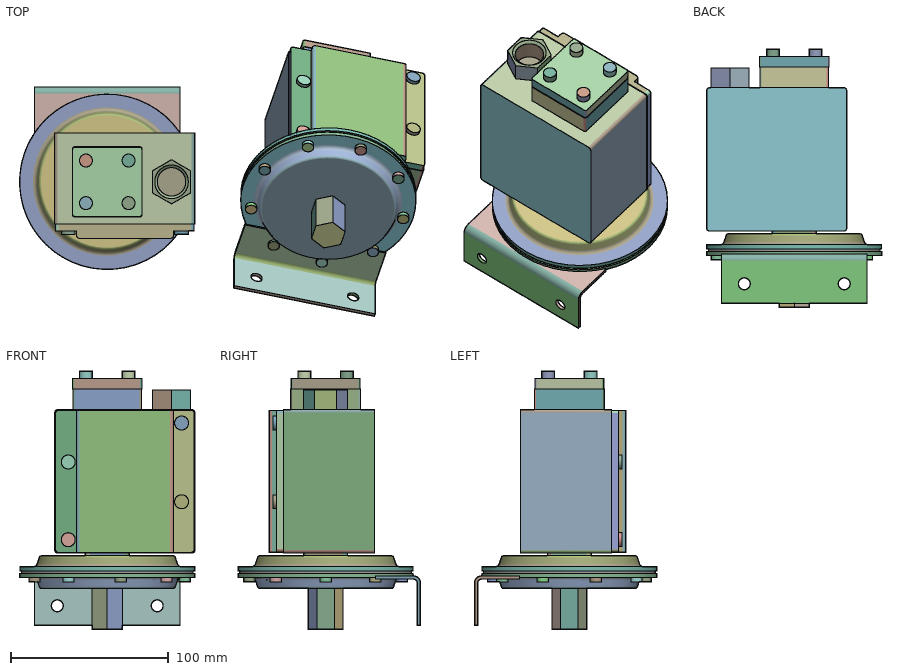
import cadquery as cq
import math


overall_depth = 115.8

port_flats = 19.2

capsule_bottom = 25.9
capsule_top = 46.7
capsule_middle = (capsule_bottom + capsule_top) / 2
flange_diameter = 111.2
flange_radius = flange_diameter / 2
flange_gap_radius = 54.5
flange_gap_height = 1.5
flange_pair_height = 6.9
dish_root_radius = 47.0
dish_wall_bottom_radius = 44.5
dish_wall_top_radius = 43.3
dish_face_radius = 42.0
dish_root_height = 2.0
dish_edge_height = 1.1

bolt_count = 9
bolt_circle_radius = 49.1
bolt_radius = 3.6
bolt_head_bottom = 30.1

bracket_width = 92.4
bracket_thickness = 2.1
bracket_front = 31.6
bracket_back = overall_depth - flange_radius
bracket_bottom = 2.5
bracket_top = 33.9
bracket_bend_radius = 4.5
bracket_hole_spacing = 63.4
bracket_hole_z = 14.9
bracket_hole_diameter = 7.4

housing_width = 89.0
housing_right = flange_radius
housing_left = housing_right - housing_width
housing_front = -26.9
housing_back = 31.1
housing_bottom = 48.3
housing_top = 139.5
housing_edge_radius = 2.0
neck_side = 28.0
neck_corner_radius = 3.0

cover_inset = 0.5
cover_front = -31.1
panel_front = -35.9
panel_left = -19.5
panel_right = 42.1
panel_edge_radius = 2.0
cover_screw_radius = 4.5
cover_screw_height = 2.3
cover_screws = [(-24.7, 56.8), (-24.7, 106.2), (47.2, 81.0), (47.2, 130.9)]

block_size = (43.7, 44.5)
block_top = 152.4
lid_size = (44.2, 43.7)
lid_top = 159.2
block_corner_radius = 1.1
lid_screw_spacing = 27.0
lid_screw_radius = 4.1
lid_screw_top = 163.8

entry_x = 40.8
entry_flats = 24.2
entry_top = 151.9
entry_bore_radius = 9.0
entry_bore_depth = 14.1
entry_bore_chamfer = 1.6


def box_between(x0, x1, y0, y1, z0, z1):
    return cq.Workplane("XY").box(x1 - x0, y1 - y0, z1 - z0, centered=False).translate((x0, y0, z0))


def hex_prism(x, across_flats, z0, z1):
    corner_diameter = across_flats / math.cos(math.pi / 6)
    hexagon = cq.Workplane("XY").polygon(6, corner_diameter).extrude(z1 - z0)
    return hexagon.rotate((0, 0, 0), (0, 0, 1), 90).translate((x, 0, z0))


def capsule():
    """Revolve the upper half about Z and mirror it about the clamping plane."""
    gap_top = flange_gap_height / 2
    flange_top = flange_pair_height / 2
    face = capsule_top - capsule_middle
    wall_bottom = flange_top + dish_root_height
    wall_top = face - dish_edge_height
    upper = (
        cq.Workplane("XZ")
        .lineTo(flange_gap_radius, 0)
        .lineTo(flange_gap_radius, gap_top)
        .lineTo(flange_radius, gap_top)
        .lineTo(flange_radius, flange_top)
        .lineTo(dish_root_radius, flange_top)
        .tangentArcPoint((dish_wall_bottom_radius, wall_bottom), relative=False)
        .lineTo(dish_wall_top_radius, wall_top)
        .tangentArcPoint((dish_face_radius, face), relative=False)
        .lineTo(0, face)
        .close()
        .revolve(360, (0, 0, 0), (0, 1, 0))
    )
    return upper.union(upper.mirror("XY")).translate((0, 0, capsule_middle))


def clamping_bolts():
    """Bolt heads, sunk into the lower flange by one bracket thickness."""
    flange_bottom = capsule_middle - flange_pair_height / 2
    return (
        cq.Workplane("XY", origin=(0, 0, bolt_head_bottom))
        .polarArray(bolt_circle_radius, 0, 360, bolt_count)
        .circle(bolt_radius)
        .extrude(flange_bottom + bracket_thickness - bolt_head_bottom)
    )


def bracket():
    inner_radius = bracket_bend_radius - bracket_thickness
    section = (
        cq.Workplane("YZ", origin=(-bracket_width / 2, 0, 0))
        .moveTo(bracket_front, bracket_top)
        .lineTo(bracket_back - bracket_bend_radius, bracket_top)
        .radiusArc((bracket_back, bracket_top - bracket_bend_radius), bracket_bend_radius)
        .lineTo(bracket_back, bracket_bottom)
        .lineTo(bracket_back - bracket_thickness, bracket_bottom)
        .lineTo(bracket_back - bracket_thickness, bracket_top - bracket_bend_radius)
        .radiusArc(
            (bracket_back - bracket_bend_radius, bracket_top - bracket_thickness), -inner_radius
        )
        .lineTo(bracket_front, bracket_top - bracket_thickness)
        .close()
        .extrude(bracket_width)
    )
    holes = (
        cq.Workplane("XZ", origin=(0, bracket_back, bracket_hole_z))
        .rarray(bracket_hole_spacing, 1.6, 2, 1)
        .circle(bracket_hole_diameter / 2)
        .extrude(2 * bracket_thickness)
    )
    return section.cut(holes)


def housing():
    """Box with rounded side edges on a short square neck above the capsule."""
    body = box_between(
        housing_left, housing_right, housing_front, housing_back, housing_bottom, housing_top
    )
    body = body.edges("|Y").fillet(housing_edge_radius)
    neck = (
        cq.Workplane("XY", origin=(0, 0, capsule_top))
        .rect(neck_side, neck_side)
        .extrude(housing_bottom - capsule_top)
        .edges("|Z")
        .fillet(neck_corner_radius)
    )
    return body.union(neck)


def cover():
    bottom = housing_bottom + cover_inset
    top = housing_top - cover_inset
    plate = box_between(
        housing_left + cover_inset, housing_right - cover_inset,
        cover_front, housing_front, bottom, top,
    )
    plate = plate.edges("|Y").fillet(housing_edge_radius)
    panel = box_between(panel_left, panel_right, panel_front, cover_front, bottom, top)
    panel = panel.edges("|Z and <Y").fillet(panel_edge_radius)
    screws = (
        cq.Workplane("XZ", origin=(0, cover_front, 0))
        .pushPoints(cover_screws)
        .circle(cover_screw_radius)
        .extrude(cover_screw_height)
    )
    return plate.union(panel).union(screws)


def connector():
    block = cq.Workplane("XY", origin=(0, 0, housing_top)).rect(*block_size)
    block = block.extrude(block_top - housing_top).edges("|Z").fillet(block_corner_radius)
    lid = cq.Workplane("XY", origin=(0, 0, block_top)).rect(*lid_size)
    lid = lid.extrude(lid_top - block_top).edges("|Z").fillet(block_corner_radius)
    screws = (
        cq.Workplane("XY", origin=(0, 0, lid_top))
        .rarray(lid_screw_spacing, lid_screw_spacing, 2, 2)
        .circle(lid_screw_radius)
        .extrude(lid_screw_top - lid_top)
    )
    return block.union(lid).union(screws)


def cable_entry_nut():
    return hex_prism(entry_x, entry_flats, housing_top, entry_top)


def cable_entry_bore():
    """Blind bore, slightly deeper than the nut, widening to a cone at its mouth."""
    mouth_radius = entry_bore_radius + entry_bore_chamfer
    return (
        cq.Workplane("XZ", origin=(entry_x, 0, entry_top))
        .lineTo(mouth_radius, 0)
        .lineTo(entry_bore_radius, -entry_bore_chamfer)
        .lineTo(entry_bore_radius, -entry_bore_depth)
        .lineTo(0, -entry_bore_depth)
        .close()
        .revolve(360, (0, 0, 0), (0, 1, 0))
    )


result = (
    hex_prism(0, port_flats, 0, capsule_bottom)
    .union(capsule())
    .union(clamping_bolts())
    .union(bracket())
    .union(housing())
    .union(cover())
    .union(connector())
    .union(cable_entry_nut())
    .cut(cable_entry_bore())
)